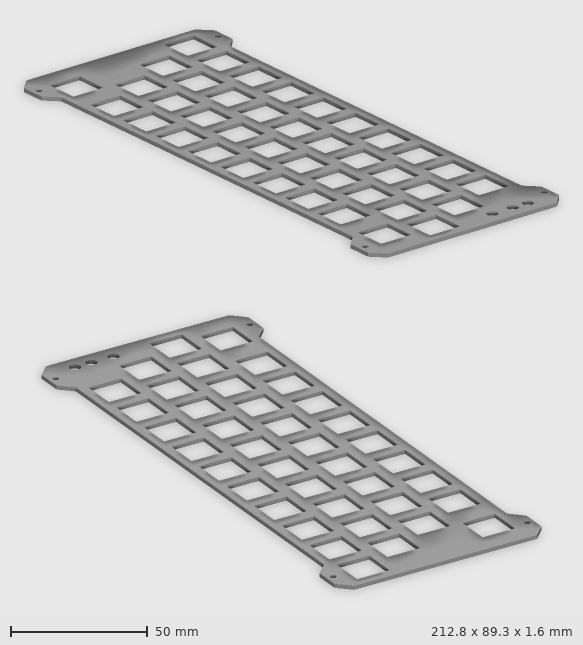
import cadquery as cq

plate_length = 212.78
plate_depth = 89.27
plate_thickness = 1.6

tab_height = 5.15
tab_top_width = 10.4
tab_base_width = tab_top_width + 2 * tab_height
body_depth = plate_depth - 2 * tab_height
tab_center_x = (plate_length - tab_base_width) / 2

mount_hole_diameter = 2.5
mount_hole_x = 95.85
mount_hole_y = 41.9

key_pitch = 19.05
key_opening = 14.0
key_columns_span = 10
full_row_keys = 10
front_row_inner_keys = 8


def key_run(first_position, count):
    """Positions of evenly spaced keys, in pitches from the leftmost key."""
    return [first_position + index for index in range(count)]


key_rows = [
    key_run(0, full_row_keys),
    key_run(0.5, full_row_keys),
    key_run(1, full_row_keys),
    [0.25] + key_run(1.5, front_row_inner_keys) + [9.75],
]

indicator_diameter = 4.49
indicator_x = 100.1
indicator_y_positions = [30.9, 23.85, 14.3]


def make_body():
    """Rectangular plate without its corner tabs."""
    return cq.Workplane("XY").rect(plate_length, body_depth).extrude(plate_thickness)


def make_tab(side_x, side_y):
    """Tab at one corner; side_x and side_y are -1 or 1."""
    center_x = side_x * tab_center_x
    base_y = side_y * body_depth / 2
    top_y = side_y * plate_depth / 2
    root_y = base_y - side_y * tab_height
    outline = [
        (center_x - tab_base_width / 2, root_y),
        (center_x - tab_base_width / 2, base_y),
        (center_x - tab_top_width / 2, top_y),
        (center_x + tab_top_width / 2, top_y),
        (center_x + tab_base_width / 2, base_y),
        (center_x + tab_base_width / 2, root_y),
    ]
    return cq.Workplane("XY").polyline(outline).close().extrude(plate_thickness)


def key_centers():
    """Centers of all key openings, with the key field centered on the plate."""
    middle_row = (len(key_rows) - 1) / 2
    centers = []
    for row, columns in enumerate(key_rows):
        y = (middle_row - row) * key_pitch
        for column in columns:
            x = (column - key_columns_span / 2) * key_pitch
            centers.append((x, y))
    return centers


def make_key_cutter():
    """Square prisms that open every key position."""
    sketch = cq.Workplane("XY").pushPoints(key_centers())
    return sketch.rect(key_opening, key_opening).extrude(plate_thickness)


def make_hole_cutter(centers, diameter):
    """Cylinders through the plate at the given centers."""
    return cq.Workplane("XY").pushPoints(centers).circle(diameter / 2).extrude(plate_thickness)


corners = [(side_x, side_y) for side_x in (-1, 1) for side_y in (-1, 1)]
mount_centers = [(side_x * mount_hole_x, side_y * mount_hole_y) for side_x, side_y in corners]
indicator_centers = [(indicator_x, y) for y in indicator_y_positions]

plate = make_body()
for side_x, side_y in corners:
    plate = plate.union(make_tab(side_x, side_y))
plate = plate.cut(make_key_cutter())
plate = plate.cut(make_hole_cutter(mount_centers, mount_hole_diameter))
plate = plate.cut(make_hole_cutter(indicator_centers, indicator_diameter))

result = plate